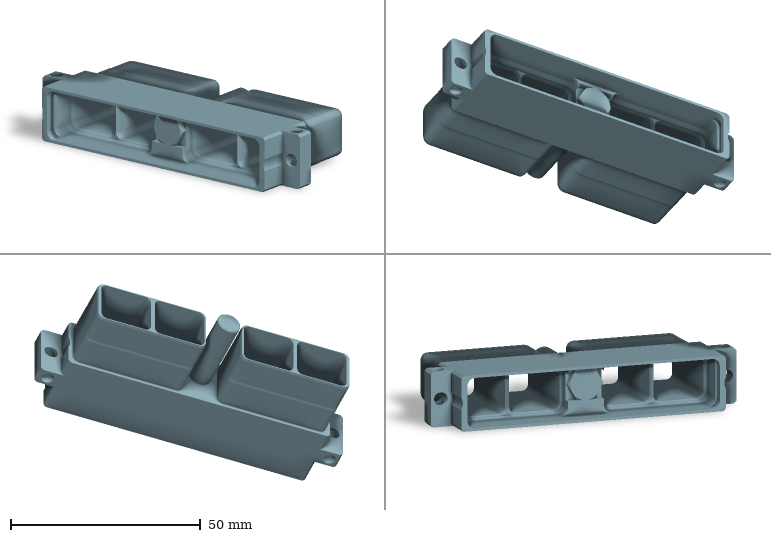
import cadquery as cq
import math


block_length = 74.3
block_depth = 17.8
block_height = 15.1
edge_chamfer = 0.7

overall_length = 85.8
ear_front = 7.7
ear_thickness = 4.8
ear_hole_x = 40.1
ear_slot_length = 3.8
ear_slot_height = 3.4
ear_cross_hole_dia = 3.35
screw_clearance_radius = 3.35

cavity_half_length = 35.45
cavity_half_height = 6.8
cavity_radius = 2.15
cavity_depth = 5.9
latch_groove_front = 1.55
latch_groove_rear = 3.3
latch_groove_reach = 0.9

pair_inner_x = 5.1
pair_half_length = (cavity_half_length - pair_inner_x) / 2
pair_x = (cavity_half_length + pair_inner_x) / 2
pocket_taper_front = 8.0
throat_front = 9.4
throat_rear = 10.0
throat_half_height = 6.35

window_pitch = pair_half_length
window_half_length = 7.0
window_half_height = 6.1
window_radius = 1.7
mouth_half_length = 7.55
mouth_rear = 11.0

housing_x = 20.4
housing_half_length = 15.45
housing_half_height = 6.6
housing_radius = 1.9
housing_step_front = 25.9
housing_step_length = 0.8
housing_rear = 35.2
housing_lead_in = 0.8
housing_drop = 0.13

screw_z = 1.4
head_flats = 8.7
head_height = 1.7
shank_dia = 6.4
shank_chamfer = 0.3
shank_end = 38.9
nub_y = 27.2
nub_dia = 2.2
nub_reach = 3.8


def rounded_outline(half_length, half_height, radius):
    """Sketch of a rectangle with rounded corners."""
    return cq.Sketch().rect(2 * half_length, 2 * half_height).vertices().fillet(radius)


def xz_plane(x, y, z=0):
    """Upright workplane whose normal points to -Y, so negative extrusions run to the rear."""
    return cq.Workplane("XZ", origin=(x, y, z))


def prism(x, half_length, half_height, radius, front, rear):
    """Rounded bar running along Y from front to rear."""
    outline = rounded_outline(half_length, half_height, radius)
    return xz_plane(x, front).placeSketch(outline).extrude(front - rear)


def tapered(x, front, front_size, rear, rear_size):
    """Transition between two rounded rectangles, each (half length, half height, radius)."""
    ends = []
    for y, size in ((front, front_size), (rear, rear_size)):
        offset = cq.Vector(0, 0, front - y)
        ends.append(rounded_outline(*size).moved(cq.Location(offset)))
    return xz_plane(x, front).placeSketch(*ends).loft()


def chamfered_bar(length, front, rear):
    """Bar along X whose long Y edges are chamfered."""
    bar = xz_plane(0, front).rect(length, block_height).extrude(front - rear)
    return bar.edges("|Y").chamfer(edge_chamfer)


def round_bar(x, z, diameter, front, rear):
    """Round bar along Y."""
    return xz_plane(x, front, z).circle(diameter / 2).extrude(front - rear)


def make_housing(x):
    """Rear housing with a small height step and a lead-in at its end."""
    step_rear = housing_step_front + housing_step_length
    lead_in_front = housing_rear - housing_lead_in
    full = (housing_half_length, housing_half_height, housing_radius)
    lower = (housing_half_length, housing_half_height - housing_drop, housing_radius)
    tip = (housing_half_length - housing_drop, housing_half_height - 2 * housing_drop, housing_radius)
    housing = prism(x, *full, block_depth, housing_step_front)
    housing = housing.union(tapered(x, housing_step_front, full, step_rear, lower))
    housing = housing.union(prism(x, *lower, step_rear, lead_in_front))
    return housing.union(tapered(x, lead_in_front, lower, housing_rear, tip))


def make_pair_pocket(x):
    """Pocket shared by two windows: straight, tapered in height, then a short straight throat."""
    pocket = (pair_half_length, cavity_half_height, cavity_radius)
    throat = (pair_half_length, throat_half_height, cavity_radius)
    recess = prism(x, *pocket, cavity_depth, pocket_taper_front)
    recess = recess.union(tapered(x, pocket_taper_front, pocket, throat_front, throat))
    return recess.union(prism(x, *throat, throat_front, throat_rear))


def make_window(x):
    """Through opening: tapered mouth, then a straight passage to the rear."""
    mouth = (mouth_half_length, throat_half_height, cavity_radius)
    passage = (window_half_length, window_half_height, window_radius)
    window = tapered(x, throat_rear, mouth, mouth_rear, passage)
    return window.union(prism(x, *passage, mouth_rear, housing_rear))


def make_cavity():
    """Front cavity, widened at both ends by the latch groove."""
    cavity = prism(0, cavity_half_length, cavity_half_height, cavity_radius, 0, cavity_depth)
    groove_half_length = cavity_half_length + latch_groove_reach
    groove = prism(
        0, groove_half_length, cavity_half_height, cavity_radius, latch_groove_front, latch_groove_rear
    )
    return cavity.union(groove)


def make_head_recess():
    """Slot across the centre web, as tall as the screw head."""
    slot = xz_plane(0, cavity_depth, screw_z).rect(2 * pair_inner_x, head_flats)
    return slot.extrude(-head_height)


def make_screw_head():
    """Hexagonal head whose front corners are turned down to a circle."""
    corner_dia = head_flats / math.cos(math.pi / 6)
    seat = cavity_depth + head_height
    hexagon = xz_plane(0, seat, screw_z).polygon(6, corner_dia).extrude(head_height)
    corner_turning = (corner_dia - head_flats) / 2
    turned = xz_plane(0, seat, screw_z).circle(corner_dia / 2).extrude(head_height)
    return hexagon.intersect(turned.faces("<Y").chamfer(corner_turning))


def make_shank():
    """Round shank with a chamfered end and a side nub."""
    shank = round_bar(0, screw_z, shank_dia, block_depth, shank_end).faces(">Y").chamfer(shank_chamfer)
    nub = cq.Workplane("YZ").center(nub_y, screw_z).circle(nub_dia / 2).extrude(nub_reach)
    return shank.union(nub)


def drill_ear(body, side):
    """Slot and crossing hole in one ear, and the screw clearance along the block side."""
    x = side * ear_hole_x
    ear_rear = ear_front + ear_thickness
    slot = xz_plane(x, ear_front).slot2D(ear_slot_length, ear_slot_height)
    body = body.cut(slot.extrude(-ear_thickness))
    for front, rear in ((0, ear_front), (ear_rear, block_depth)):
        body = body.cut(round_bar(x, 0, 2 * screw_clearance_radius, front, rear))
    ear_middle = ear_front + ear_thickness / 2
    cross_hole = cq.Workplane("XY").center(x, ear_middle).circle(ear_cross_hole_dia / 2)
    return body.cut(cross_hole.extrude(block_height / 2, both=True))


body = chamfered_bar(block_length, 0, block_depth)
body = body.union(chamfered_bar(overall_length, ear_front, ear_front + ear_thickness))
for side in (-1, 1):
    body = body.union(make_housing(side * housing_x))
    body = drill_ear(body, side)

body = body.cut(make_cavity())
for side in (-1, 1):
    body = body.cut(make_pair_pocket(side * pair_x))
    for offset in (-window_pitch / 2, window_pitch / 2):
        body = body.cut(make_window(side * pair_x + offset))

body = body.cut(make_head_recess())
body = body.union(make_screw_head())
result = body.union(make_shank())